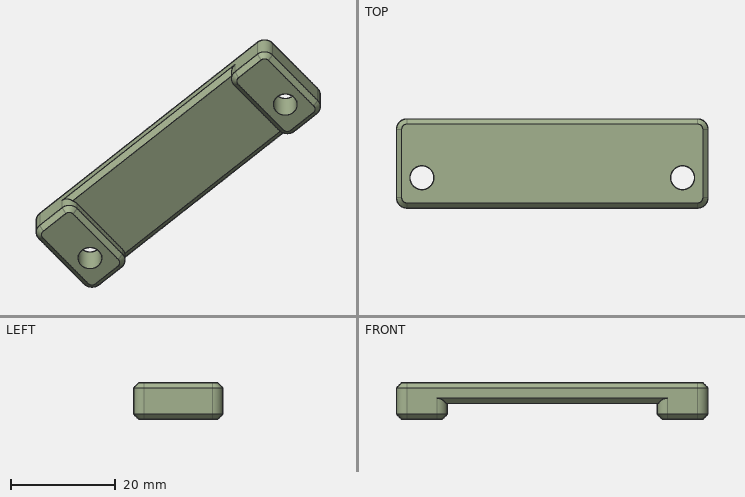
import cadquery as cq

length = 59.4
width = 17.05
height = 7.0
plate_thickness = 4.0
foot_length = 9.75
corner_radius = 2.0
edge_chamfer = 1.0
hole_diameter = 4.5
hole_end_distance = 4.9
hole_front_distance = 5.8

plate_bottom = height - plate_thickness
foot_height = plate_bottom + edge_chamfer


def rounded_block(block_length, block_height):
    """Block of full width on the XY plane with rounded vertical edges."""
    block = cq.Workplane("XY").box(block_length, width, block_height, centered=(True, True, False))
    return block.edges("|Z").fillet(corner_radius)


plate = rounded_block(length, plate_thickness).faces("<Z or >Z").chamfer(edge_chamfer)
result = plate.translate((0, 0, plate_bottom))

foot = rounded_block(foot_length, foot_height).faces("<Z").chamfer(edge_chamfer)
foot_x = (length - foot_length) / 2
for side in (-1, 1):
    result = result.union(foot.translate((side * foot_x, 0, 0)))

hole = cq.Workplane("XY").circle(hole_diameter / 2).extrude(height)
hole_x = length / 2 - hole_end_distance
hole_y = hole_front_distance - width / 2
for side in (-1, 1):
    result = result.cut(hole.translate((side * hole_x, hole_y, 0)))